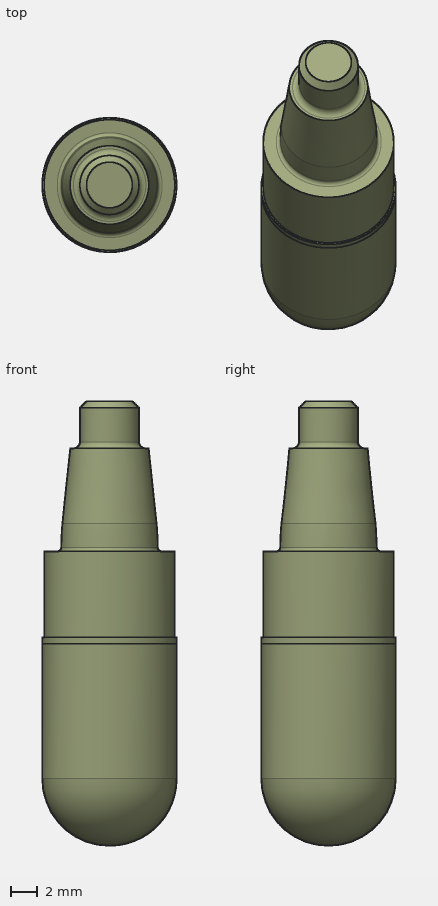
import cadquery as cq
import math

total_height = 33.0
body_radius = 10.0 / 2

flange_bottom_z = 14.98
flange_thickness = 0.5
collar_radius = 9.7 / 2
collar_height = 6.37
neck_base_radius = 3.6
neck_base_fillet = 0.3
neck_curve_height = 1.78
taper_angle = math.radians(6)
tip_radius = 4.4 / 2
tip_length = 3.5
tip_chamfer = 0.5
tip_base_fillet = 0.5

flange_top_z = flange_bottom_z + flange_thickness
collar_top_z = flange_top_z + collar_height
neck_curve_bottom_z = collar_top_z + neck_base_fillet
neck_curve_top_z = neck_curve_bottom_z + neck_curve_height
neck_top_z = total_height - tip_length
neck_curve_radius = neck_curve_height / math.sin(taper_angle)
cone_base_radius = neck_base_radius - neck_curve_radius * (1 - math.cos(taper_angle))
cone_top_radius = cone_base_radius - (neck_top_z - neck_curve_top_z) * math.tan(taper_angle)


def make_capsule():
    """Solid cylinder with a hemispherical lower end."""
    mid_arc = body_radius * math.sqrt(0.5)
    profile = (
        cq.Workplane("XZ")
        .moveTo(0, 0)
        .threePointArc((mid_arc, body_radius - mid_arc), (body_radius, body_radius))
        .lineTo(body_radius, flange_bottom_z)
        .lineTo(0, flange_bottom_z)
        .close()
    )
    return profile.revolve(360, (0, 0), (0, 1))


def make_plug():
    """Flange and collar below a tapered neck that ends in a chamfered tip."""
    profile = (
        cq.Workplane("XZ")
        .moveTo(0, flange_bottom_z)
        .lineTo(body_radius, flange_bottom_z)
        .lineTo(body_radius, flange_top_z)
        .lineTo(collar_radius, flange_top_z)
        .lineTo(collar_radius, collar_top_z)
        .lineTo(neck_base_radius + neck_base_fillet, collar_top_z)
        .radiusArc((neck_base_radius, neck_curve_bottom_z), neck_base_fillet)
        .tangentArcPoint((cone_base_radius, neck_curve_top_z), relative=False)
        .lineTo(cone_top_radius, neck_top_z)
        .lineTo(tip_radius + tip_base_fillet, neck_top_z)
        .radiusArc((tip_radius, neck_top_z + tip_base_fillet), tip_base_fillet)
        .lineTo(tip_radius, total_height - tip_chamfer)
        .lineTo(tip_radius - tip_chamfer, total_height)
        .lineTo(0, total_height)
        .close()
    )
    return profile.revolve(360, (0, 0), (0, 1))


capsule = make_capsule()
plug = make_plug()

result = cq.Compound.makeCompound([capsule.val(), plug.val()])